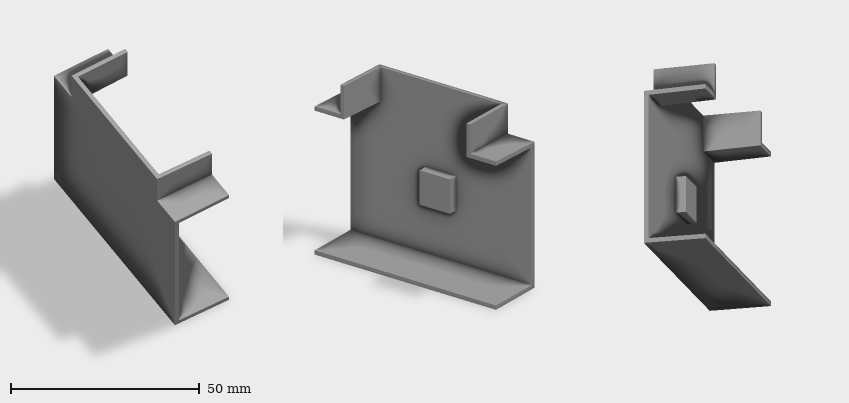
import math

import cadquery as cq

RUN_LENGTH = 60.0
DEPTH = 17.0
TOTAL_HEIGHT = 51.55
WALL = 1.25
CHANNEL_WIDTH = 43.05
DRAFT_ANGLE = 1.0

BLOCK_SIDE = 10.0
BLOCK_TOP = 4.0

BACK_HALF_WIDTH = CHANNEL_WIDTH / 2
FRONT_HALF_WIDTH = BACK_HALF_WIDTH - DEPTH * math.tan(math.radians(DRAFT_ANGLE))
RUN_CENTRE_Z = BACK_HALF_WIDTH
BRANCH_LENGTH = TOTAL_HEIGHT - RUN_CENTRE_Z


def half_width_at(y):
    """Outside half width of a channel at distance y behind the front face."""
    return FRONT_HALF_WIDTH + y * math.tan(math.radians(DRAFT_ANGLE))


def channel_profile(inset):
    """Corners (across, y) of a drafted channel section, shrunk inwards by inset."""
    front = half_width_at(inset) - inset
    back = half_width_at(DEPTH) - inset
    return [(-front, inset), (front, inset), (back, DEPTH), (-back, DEPTH)]


def tee_prism(inset):
    """Solid tee: the run along X joined with the branch going up from its centreline."""
    run_points = [(y, RUN_CENTRE_Z + across) for across, y in channel_profile(inset)]
    run = cq.Workplane("YZ").polyline(run_points).close().extrude(RUN_LENGTH / 2, both=True)
    branch = (
        cq.Workplane("XY", origin=(0, 0, RUN_CENTRE_Z))
        .polyline(channel_profile(inset))
        .close()
        .extrude(BRANCH_LENGTH)
    )
    return run.union(branch)


def inner_block():
    """Block reaching from the inside of the front plate into the cavity."""
    return cq.Workplane("XY").box(
        BLOCK_SIDE, BLOCK_TOP - WALL, BLOCK_SIDE, centered=(True, False, True)
    ).translate((0, WALL, RUN_CENTRE_Z))


shell = tee_prism(0).cut(tee_prism(WALL))
result = shell.union(inner_block())